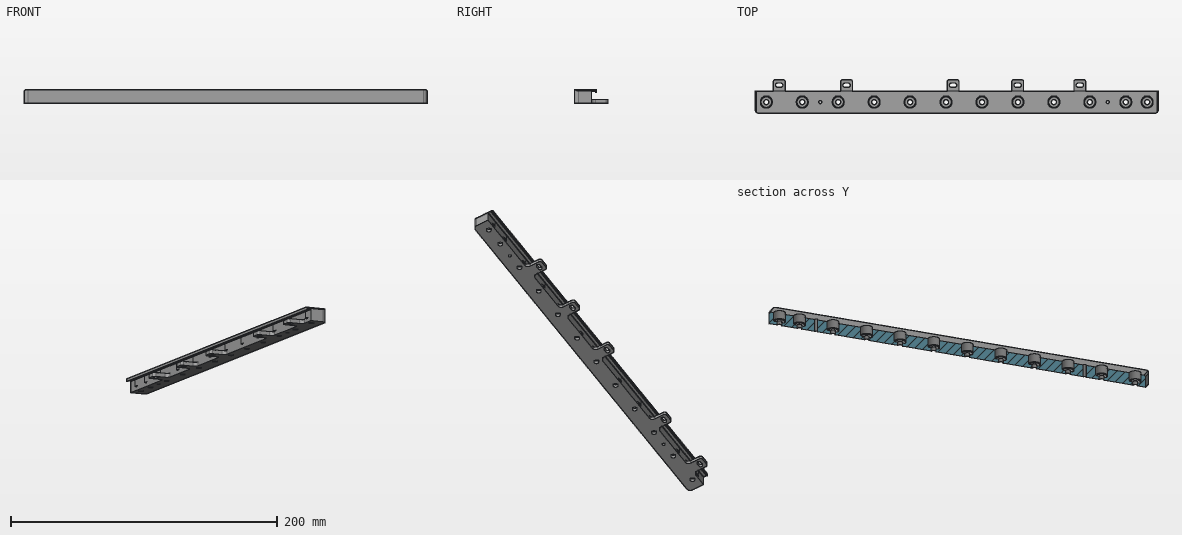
import cadquery as cq
import math

length = 303.0
depth = 25.5
height = 10.3

body_depth = 13.0
cover_depth = 16.7
cover_thickness = 1.5
lip_width = 1.0
under_bevel = 0.3
lip_height = 2.0
corner_radius = 3.0
end_chamfer = 1.05

hole_end_gap = 8.5
last_hole_spacing = 16.0
pitched_hole_count = 11
hole_front_gap = 8.5
bore_diameter = 3.5
counterbore_diameter = 9.0
counterbore_depth = 7.3
floor_bevel = 0.5
pin_diameter = 2.0

tab_centers = (-133.3, -82.7, -2.7, 45.7, 92.5)
tab_width = 9.0
tab_thickness = 3.0
tab_tip_radius = 1.8
tab_root_radius = 2.7
slot_length = 5.5
slot_width = 3.0
slot_back_gap = 4.2

front_y = -depth / 2
base_z = -height / 2
top_z = height / 2
body_back_y = front_y + body_depth
cover_back_y = front_y + cover_depth
tab_tip_y = depth / 2
hole_y = front_y + hole_front_gap

first_hole_x = -length / 2 + hole_end_gap
last_hole_x = length / 2 - hole_end_gap
hole_pitch = (last_hole_x - last_hole_spacing - first_hole_x) / (pitched_hole_count - 1)
pitched_hole_xs = [first_hole_x + i * hole_pitch for i in range(pitched_hole_count)]
hole_xs = pitched_hole_xs + [last_hole_x]
pin_xs = [pitched_hole_xs[1] + hole_pitch / 2, pitched_hole_xs[-1] - hole_pitch / 2]


def make_rail():
    """Bar whose thin top cover overhangs the back and ends in a downward lip."""
    section = [
        (front_y, base_z),
        (body_back_y, base_z),
        (body_back_y, top_z - cover_thickness - under_bevel),
        (body_back_y + under_bevel, top_z - cover_thickness),
        (cover_back_y - lip_width, top_z - cover_thickness),
        (cover_back_y - lip_width, top_z - lip_height),
        (cover_back_y, top_z - lip_height),
        (cover_back_y, top_z),
        (front_y, top_z),
    ]
    rail = cq.Workplane("YZ").polyline(section).close().extrude(length / 2, both=True)
    rail = rail.faces(">Z").edges("<X or >X").chamfer(end_chamfer)
    envelope = cq.Workplane("XY").box(length, depth, height).edges("|Z and <Y").fillet(corner_radius)
    return rail.intersect(envelope)


def make_tab(center_x):
    """Slotted tab with rounded tips and flared roots where it meets the body."""
    half_width = tab_width / 2
    flare = half_width + tab_root_radius
    root_end_y = body_back_y + tab_root_radius
    arc_mid = tab_root_radius * math.sqrt(0.5)
    overlap_y = body_back_y - tab_thickness
    outline = (
        cq.Workplane("XY", origin=(center_x, 0, base_z))
        .moveTo(-flare, overlap_y)
        .lineTo(-flare, body_back_y)
        .threePointArc((-flare + arc_mid, root_end_y - arc_mid), (-half_width, root_end_y))
        .lineTo(-half_width, tab_tip_y)
        .lineTo(half_width, tab_tip_y)
        .lineTo(half_width, root_end_y)
        .threePointArc((flare - arc_mid, root_end_y - arc_mid), (flare, body_back_y))
        .lineTo(flare, overlap_y)
        .close()
    )
    tab = outline.extrude(tab_thickness)
    tab = tab.edges("|Z and >Y").fillet(tab_tip_radius)
    slot = (
        cq.Workplane("XY", origin=(center_x, tab_tip_y - slot_back_gap, base_z))
        .slot2D(slot_length, slot_width)
        .extrude(tab_thickness)
    )
    return tab.cut(slot)


def make_hole_cutter(center_x):
    """Through bore with a counterbore whose floor edge is bevelled."""
    bore_radius = bore_diameter / 2
    counterbore_radius = counterbore_diameter / 2
    floor_z = top_z - counterbore_depth
    profile = [
        (0, base_z),
        (bore_radius, base_z),
        (bore_radius, floor_z),
        (counterbore_radius - floor_bevel, floor_z),
        (counterbore_radius, floor_z + floor_bevel),
        (counterbore_radius, top_z),
        (0, top_z),
    ]
    cutter = cq.Workplane("XZ").polyline(profile).close().revolve(360, (0, 0), (0, 1))
    return cutter.translate((center_x, hole_y, 0))


def make_pin_cutter(center_x):
    """Plain through hole for a locating pin."""
    return cq.Workplane("XY", origin=(center_x, hole_y, base_z)).circle(pin_diameter / 2).extrude(height)


result = make_rail()
for tab_x in tab_centers:
    result = result.union(make_tab(tab_x))
for hole_x in hole_xs:
    result = result.cut(make_hole_cutter(hole_x))
for pin_x in pin_xs:
    result = result.cut(make_pin_cutter(pin_x))